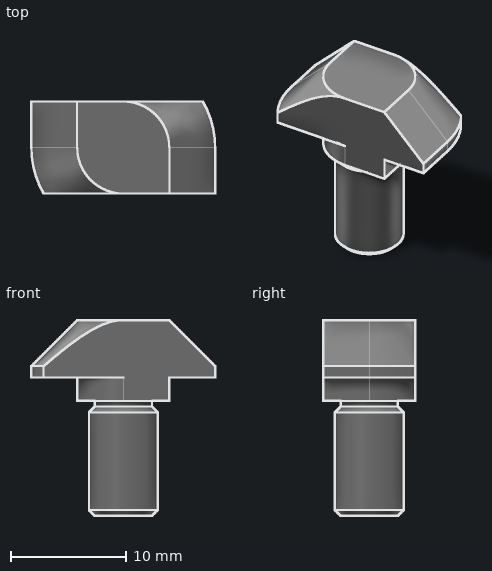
import cadquery as cq

total_height = 17.0
head_length = 16.0
head_width = 8.0
rim_height = 1.0
neck_height = 2.0
shaft_diameter = 6.0
undercut_diameter = 5.0
undercut_height = 0.5

head_radius = head_length / 2
neck_radius = head_width / 2
slope_height = head_radius - neck_radius
shaft_radius = shaft_diameter / 2
undercut_radius = undercut_diameter / 2
chamfer = shaft_radius - undercut_radius

rim_top = rim_height
head_top = rim_top + slope_height
neck_bottom = -neck_height
undercut_bottom = neck_bottom - undercut_height
shaft_bottom = head_top - total_height

head_section = [
    (0, neck_bottom),
    (neck_radius, neck_bottom),
    (neck_radius, 0),
    (head_radius, 0),
    (head_radius, rim_top),
    (neck_radius, head_top),
    (0, head_top),
]

shaft_section = [
    (0, neck_bottom),
    (undercut_radius, neck_bottom),
    (undercut_radius, undercut_bottom),
    (shaft_radius, undercut_bottom - chamfer),
    (shaft_radius, shaft_bottom + chamfer),
    (undercut_radius, shaft_bottom),
    (0, shaft_bottom),
]


def revolve_section(points):
    """Turn a half section about the Z axis."""
    return cq.Workplane("XZ").polyline(points).close().revolve(360, (0, 0), (0, 1))


def round_head():
    """Conical head and cylindrical neck, cut flat to the head width."""
    slab = cq.Workplane("XY").box(head_length, head_width, 2 * total_height)
    return revolve_section(head_section).intersect(slab)


def straight_quarter():
    """Flat-sided quarter of head and neck on the +X, -Y side."""
    return cq.Workplane("XZ").polyline(head_section).close().extrude(head_width / 2)


result = round_head()
for angle in (0, 180):
    result = result.union(straight_quarter().rotate((0, 0, 0), (0, 0, 1), angle))

result = result.union(revolve_section(shaft_section))